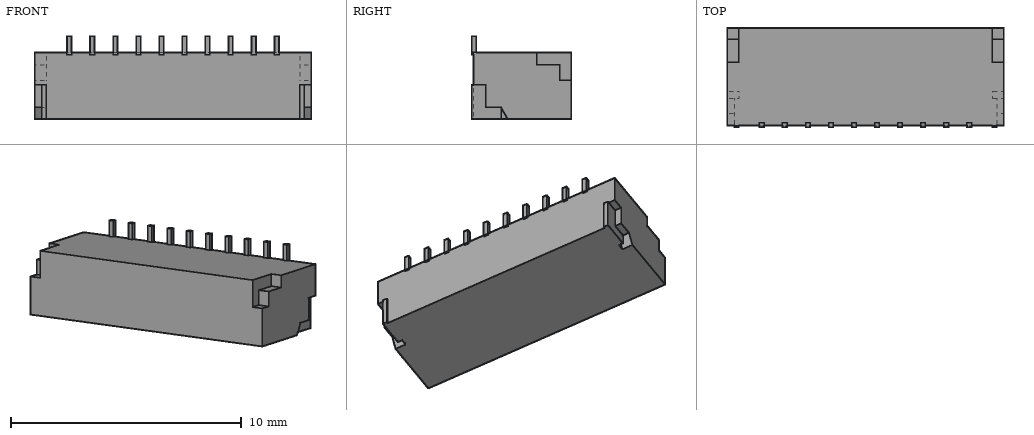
import cadquery as cq

body_length = 12.0
body_depth = 4.25
body_height = 2.89

pin_count = 10
pin_row_span = 9.0
pin_size = 0.2
pin_length = 0.8
total_height = 3.6

front_overhang = 0.07

notch_width = 0.5

rear_notch_depth = 1.5
rear_notch_drop = 0.54
rear_step_depth = 0.5
rear_step_drop = 1.2

tab_height = 1.49
tab_upright_depth = 0.54
tab_foot_depth = 1.2
tab_foot_height = 0.5
tab_thickness = 0.2
ramp_run = 0.29


def extrude_at_left_end(side_outline, inset, width):
    """Extrude a (Y, Z) outline along +X, starting `inset` from the left end."""
    start = inset - body_length / 2
    return cq.Workplane("YZ").polyline(side_outline).close().extrude(width).translate((start, 0, 0))


def both_ends(shape):
    """Join a left-end shape with its mirror image at the right end."""
    return shape.union(shape.mirror("YZ"))


def make_housing():
    return cq.Workplane("XY").box(
        body_length, body_depth, body_height, centered=(True, False, False)
    )


def make_rear_notch():
    notch_floor = body_height - rear_notch_drop
    step_floor = body_height - rear_step_drop
    notch_front = body_depth - rear_notch_depth
    step_front = body_depth - rear_step_depth
    outline = [
        (notch_front, body_height),
        (notch_front, notch_floor),
        (step_front, notch_floor),
        (step_front, step_floor),
        (body_depth, step_floor),
        (body_depth, body_height),
    ]
    return extrude_at_left_end(outline, 0, notch_width)


def tab_outline(front_y, bottom_rear_y):
    """L-shaped (Y, Z) outline with an upright at the front and a foot running back."""
    return [
        (front_y, 0),
        (front_y, tab_height),
        (tab_upright_depth, tab_height),
        (tab_upright_depth, tab_foot_height),
        (tab_foot_depth, tab_foot_height),
        (bottom_rear_y, 0),
    ]


def make_tab_notch():
    return extrude_at_left_end(tab_outline(0, tab_foot_depth + ramp_run), 0, notch_width)


def make_solder_tab():
    outline = tab_outline(-front_overhang, tab_foot_depth)
    return extrude_at_left_end(outline, notch_width - tab_thickness, tab_thickness)


def make_pins():
    pin_bottom = total_height - pin_length
    pin_pitch = pin_row_span / (pin_count - 1)
    first_pin_x = -pin_row_span / 2
    pin_places = [(first_pin_x + i * pin_pitch, -front_overhang, pin_bottom) for i in range(pin_count)]
    return (
        cq.Workplane("XY")
        .pushPoints(pin_places)
        .box(pin_size, pin_size, pin_length, centered=(True, False, False))
    )


result = (
    make_housing()
    .cut(both_ends(make_rear_notch()))
    .cut(both_ends(make_tab_notch()))
    .union(both_ends(make_solder_tab()))
    .union(make_pins())
)